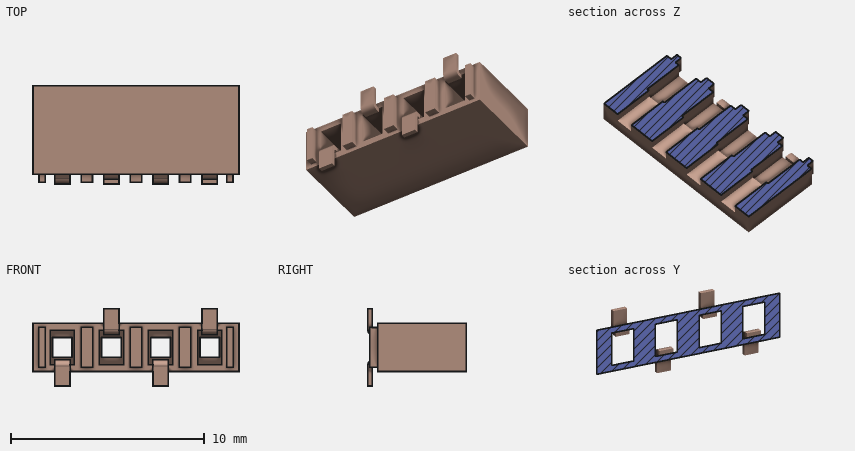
import cadquery as cq

BODY_LENGTH = 10.66
BODY_HEIGHT = 2.5
OVERALL_DEPTH = 5.1
OVERALL_HEIGHT = 4.0
CONTACT_COUNT = 4
PITCH = 2.54

CONTACT_REACH = 0.51
CONTACT_WIDTH = 0.8
CONTACT_THICKNESS = 0.25
OUTER_BEND_RADIUS = 0.3
INNER_BEND_RADIUS = 0.1

BODY_DEPTH = OVERALL_DEPTH - CONTACT_REACH
POCKET_WIDTH = 1.25
POCKET_HEIGHT = 1.79
POCKET_DEPTH = BODY_DEPTH / 2
PIN_HOLE_SIDE = 1.0

RIB_REACH = 0.42
RIB_HEIGHT = 2.06
MIDDLE_RIB_WIDTH = 0.6
END_RIB_WIDTH = 0.33
END_RIB_INSET = 0.32


def row_positions(count):
    """X positions of `count` features at the pitch, centred on the body."""
    return [(index - (count - 1) / 2) * PITCH for index in range(count)]


def front_block(center_x, width, height, y_start, depth):
    """Box centred on Z = 0 that runs from y_start toward +Y."""
    return (
        cq.Workplane("XY")
        .box(width, depth, height, centered=(True, False, True))
        .translate((center_x, y_start, 0))
    )


def make_housing():
    housing = front_block(0, BODY_LENGTH, BODY_HEIGHT, 0, BODY_DEPTH)

    for x in row_positions(CONTACT_COUNT):
        housing = housing.cut(front_block(x, POCKET_WIDTH, POCKET_HEIGHT, 0, POCKET_DEPTH))
        housing = housing.cut(front_block(x, PIN_HOLE_SIDE, PIN_HOLE_SIDE, 0, BODY_DEPTH))

    for x in row_positions(CONTACT_COUNT - 1):
        housing = housing.union(front_block(x, MIDDLE_RIB_WIDTH, RIB_HEIGHT, -RIB_REACH, RIB_REACH))

    end_rib_x = BODY_LENGTH / 2 - END_RIB_INSET - END_RIB_WIDTH / 2
    for x in (-end_rib_x, end_rib_x):
        housing = housing.union(front_block(x, END_RIB_WIDTH, RIB_HEIGHT, -RIB_REACH, RIB_REACH))
    return housing


def make_contact(center_x, points_up):
    """L-shaped contact: a short arm from the front face, bent into a vertical solder foot."""
    arm_bottom = -POCKET_HEIGHT / 2
    arm_top = arm_bottom + CONTACT_THICKNESS
    foot_end = -OVERALL_HEIGHT / 2
    foot_front = -CONTACT_REACH
    foot_back = foot_front + CONTACT_THICKNESS

    contact = (
        cq.Workplane("YZ")
        .moveTo(0, arm_top)
        .lineTo(foot_front + OUTER_BEND_RADIUS, arm_top)
        .radiusArc((foot_front, arm_top - OUTER_BEND_RADIUS), -OUTER_BEND_RADIUS)
        .lineTo(foot_front, foot_end)
        .lineTo(foot_back, foot_end)
        .lineTo(foot_back, arm_bottom - INNER_BEND_RADIUS)
        .radiusArc((foot_back + INNER_BEND_RADIUS, arm_bottom), INNER_BEND_RADIUS)
        .lineTo(0, arm_bottom)
        .close()
        .extrude(CONTACT_WIDTH / 2, both=True)
    )
    if points_up:
        contact = contact.mirror("XY")
    return contact.translate((center_x, 0, 0))


housing = make_housing()

contacts = []
for index, x in enumerate(row_positions(CONTACT_COUNT)):
    contacts.append(make_contact(x, points_up=index % 2 == 1))

result = cq.Compound.makeCompound([housing.val(), *[contact.val() for contact in contacts]])